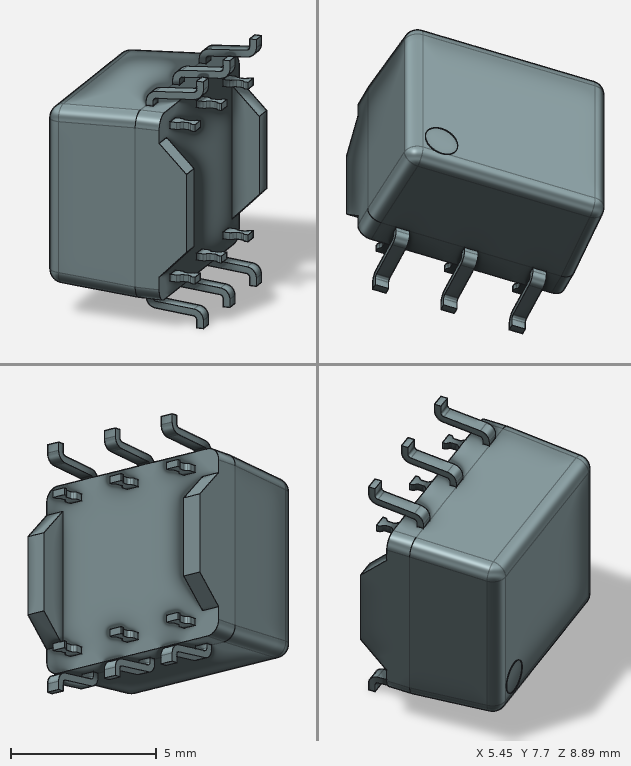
import cadquery as cq
import math

body_width_y = 7.7
body_height_z = 6.73
parting_x = 3.35
base_depth = 0.88
draft_angle = 3.0
edge_radius = 0.5
base_x = parting_x + base_depth

rail_width_y = 0.72
rail_depth = 1.005
rail_root_height = 4.82
rail_tip_height = rail_root_height - 2 * rail_depth

mark_diameter = 1.2
mark_depth = 0.03
mark_y = 2.51
mark_z = -2.15

overall_x = 5.45
overall_z = 8.89
lead_pitch = 2.54
leads_per_side = 3
lead_width = 0.5
lead_thickness = 0.25
lead_slope = math.radians(5.0)
bend_radius = lead_thickness
root_x = parting_x + lead_thickness / 2
foot_x = overall_x - lead_thickness / 2
root_bend_z = 3.53
tail_z = 2.75
tail_tip_x = 5.15

notch_depth = 0.125
notch_floor = 0.17
notch_flank = 0.22
notch_radius = (notch_flank**2 + notch_depth**2) / (4 * notch_depth)
notch_x = 4.765


def make_housing():
    front_plane = cq.Plane(origin=(parting_x, 0, 0), xDir=(0, 1, 0), normal=(-1, 0, 0))
    shell = (
        cq.Workplane(front_plane)
        .rect(body_width_y, body_height_z)
        .extrude(parting_x, taper=draft_angle)
        .edges("not >X")
        .fillet(edge_radius)
    )
    base = (
        cq.Workplane("YZ", origin=(parting_x, 0, 0))
        .rect(body_width_y, body_height_z)
        .extrude(base_depth)
        .edges("|X")
        .fillet(edge_radius)
    )
    housing = shell.union(base)
    rail_tip_x = base_x + rail_depth
    for outer_y in (-body_width_y / 2 + rail_width_y, body_width_y / 2):
        rail = (
            cq.Workplane("XZ", origin=(0, outer_y, 0))
            .moveTo(base_x, -rail_root_height / 2)
            .lineTo(rail_tip_x, -rail_tip_height / 2)
            .lineTo(rail_tip_x, rail_tip_height / 2)
            .lineTo(base_x, rail_root_height / 2)
            .close()
            .extrude(rail_width_y)
        )
        housing = housing.union(rail)
    mark = cq.Workplane("YZ").center(mark_y, mark_z).circle(mark_diameter / 2).extrude(mark_depth)
    return housing.cut(mark)


def make_lead_path():
    """Centreline from the tail tip, through the housing, to the foot end."""
    sine = bend_radius * math.sin(lead_slope)
    cosine = bend_radius * math.cos(lead_slope)
    slope_start_x = root_x + bend_radius - sine
    slope_start_z = root_bend_z + cosine
    slope_end_x = foot_x - bend_radius + sine
    slope_end_z = slope_start_z + (slope_end_x - slope_start_x) * math.tan(lead_slope)
    return (
        cq.Workplane("XZ")
        .moveTo(tail_tip_x, tail_z)
        .lineTo(root_x + bend_radius, tail_z)
        .tangentArcPoint((root_x, tail_z + bend_radius), relative=False)
        .lineTo(root_x, root_bend_z)
        .tangentArcPoint((slope_start_x, slope_start_z), relative=False)
        .lineTo(slope_end_x, slope_end_z)
        .tangentArcPoint((foot_x, slope_end_z + cosine), relative=False)
        .lineTo(foot_x, overall_z / 2)
    )


def make_tail_notch():
    """Waist cut in the +y flank of the tail, with S-shaped ends."""
    edge_y = lead_width / 2
    floor_y = edge_y - notch_depth
    middle_y = edge_y - notch_depth / 2
    start_x = notch_x - notch_floor / 2 - notch_flank
    floor_start_x = start_x + notch_flank
    floor_end_x = floor_start_x + notch_floor
    end_x = floor_end_x + notch_flank
    return (
        cq.Workplane("XY", origin=(0, 0, tail_z - lead_thickness / 2))
        .moveTo(end_x, edge_y)
        .lineTo(start_x, edge_y)
        .radiusArc((start_x + notch_flank / 2, middle_y), notch_radius)
        .tangentArcPoint((floor_start_x, floor_y), relative=False)
        .lineTo(floor_end_x, floor_y)
        .tangentArcPoint((floor_end_x + notch_flank / 2, middle_y), relative=False)
        .tangentArcPoint((end_x, edge_y), relative=False)
        .close()
        .extrude(lead_thickness)
    )


def make_lead():
    """Upper lead centred on y = 0."""
    strip = (
        cq.Workplane("YZ", origin=(tail_tip_x, 0, tail_z))
        .rect(lead_width, lead_thickness)
        .sweep(make_lead_path())
    )
    notch = make_tail_notch()
    return strip.cut(notch).cut(notch.mirror("XZ"))


upper_lead = make_lead()
leads = []
for side_lead in (upper_lead, upper_lead.mirror("XY")):
    for index in range(leads_per_side):
        lead_y = (index - (leads_per_side - 1) / 2) * lead_pitch
        leads.append(side_lead.translate((0, lead_y, 0)))

housing = make_housing()
for lead in leads:
    housing = housing.cut(lead)

result = cq.Compound.makeCompound([housing.solids().val(), *[lead.solids().val() for lead in leads]])